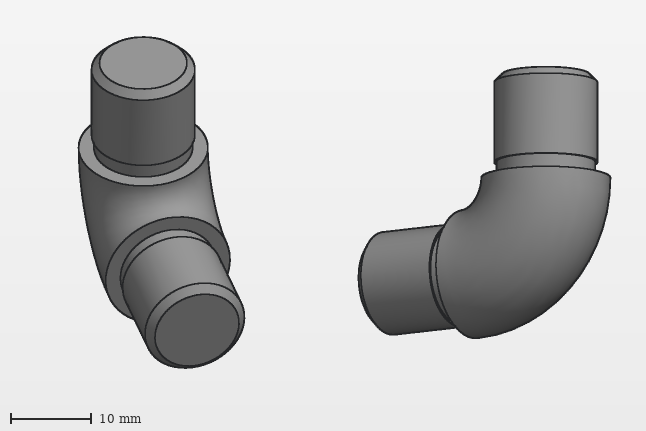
import cadquery as cq

overall_size = 32.0
body_diameter = 16.0
bend_radius = 11.0

spigot_diameter = 12.8
neck_diameter = 12.22
neck_length = 2.0
chamfer = 1.0

spigot_length = overall_size - (bend_radius + body_diameter / 2)


def make_bend():
    """Quarter turn from the upward-facing end to the +X-facing end."""
    return (
        cq.Workplane("XY")
        .center(-bend_radius, 0)
        .circle(body_diameter / 2)
        .revolve(90, (bend_radius, 0, 0), (bend_radius, -1, 0))
    )


def make_spigot(end_plane):
    """Narrow neck and chamfered plug, standing on a flat end of the bend."""
    neck = cq.Workplane(end_plane).circle(neck_diameter / 2).extrude(neck_length)
    plug = (
        cq.Workplane(end_plane)
        .workplane(offset=neck_length)
        .circle(spigot_diameter / 2)
        .extrude(spigot_length - neck_length)
        .faces(cq.selectors.DirectionMinMaxSelector(end_plane.zDir, True))
        .chamfer(chamfer)
    )
    return neck.union(plug)


top_end = cq.Plane(origin=(-bend_radius, 0, 0), normal=(0, 0, 1))
side_end = cq.Plane(origin=(0, 0, -bend_radius), normal=(1, 0, 0))

result = make_bend().union(make_spigot(top_end)).union(make_spigot(side_end))